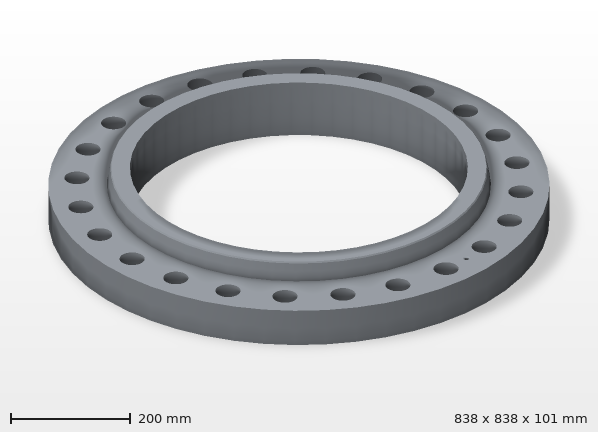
import cadquery as cq

flange_diameter = 838.0
bore_diameter = 565.0
flange_thickness = 66.0

raised_face_diameter = 640.0
raised_face_height = 2.0

overall_height = 101.0
hub_base_diameter = 642.0
hub_rim_diameter = 630.0
hub_top_diameter = 627.0
rim_chamfer_height = 2.5

bolt_count = 24
bolt_circle_diameter = 743.0
bolt_hole_diameter = 42.0

small_hole_diameter = 7.5
small_hole_depth = 33.5
countersink_diameter = 12.5
countersink_depth = 1.25

bolt_pitch_angle = 360 / bolt_count
flange_top = raised_face_height + flange_thickness
rim_base = overall_height - rim_chamfer_height


def ring_body():
    """Revolve the half section of the raised face, flange and hub about Z."""
    half_section = [
        (bore_diameter / 2, 0),
        (raised_face_diameter / 2, 0),
        (raised_face_diameter / 2, raised_face_height),
        (flange_diameter / 2, raised_face_height),
        (flange_diameter / 2, flange_top),
        (hub_base_diameter / 2, flange_top),
        (hub_rim_diameter / 2, rim_base),
        (hub_top_diameter / 2, overall_height),
        (bore_diameter / 2, overall_height),
    ]
    return cq.Workplane("XZ").polyline(half_section).close().revolve(360, (0, 0, 0), (0, 1, 0))


def bolt_holes():
    """Cylinders through the full flange thickness, evenly spaced on the bolt circle."""
    return (
        cq.Workplane("XY")
        .polarArray(bolt_circle_diameter / 2, 0, 360, bolt_count)
        .circle(bolt_hole_diameter / 2)
        .extrude(flange_top)
    )


def small_hole():
    """Countersunk blind hole sunk into the upper face of the flange, on the bolt circle."""
    half_section = [
        (0, 0),
        (countersink_diameter / 2, 0),
        (small_hole_diameter / 2, -countersink_depth),
        (small_hole_diameter / 2, -small_hole_depth),
        (0, -small_hole_depth),
    ]
    hole = cq.Workplane("XZ").polyline(half_section).close().revolve(360, (0, 0, 0), (0, 1, 0))
    hole_on_x_axis = hole.translate((bolt_circle_diameter / 2, 0, flange_top))
    return hole_on_x_axis.rotate((0, 0, 0), (0, 0, 1), bolt_pitch_angle / 2)


result = ring_body().cut(bolt_holes()).cut(small_hole())